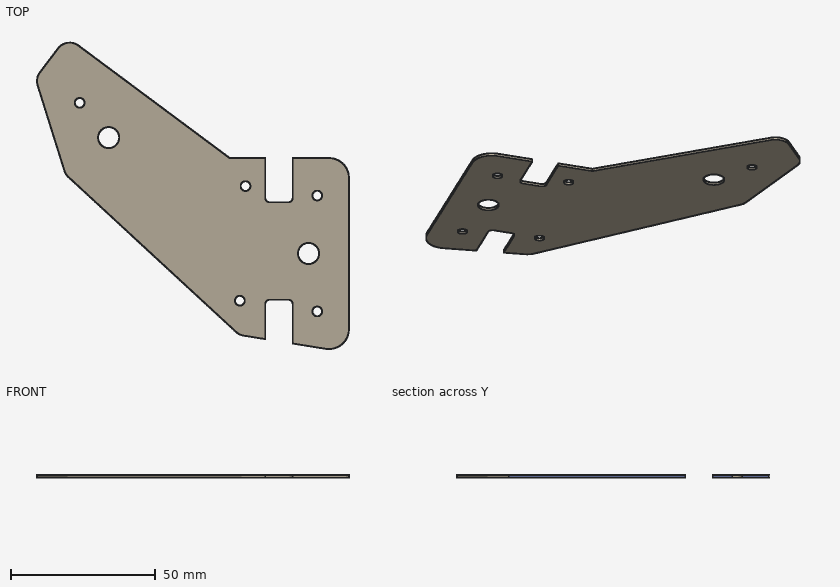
import cadquery as cq

thickness = 1.0

head_right = 14.0
head_top = 33.0
head_bottom = -34.25
head_corner_radius = 7.0

arm_root_top = (-27.25, head_top)
arm_tip_top = (-83.45, 74.8)
arm_tip_left = (-94.31, 60.47)
arm_elbow = (-83.9, 27.3)
arm_root_bottom = (-23.9, -28.15)
head_bottom_right = (head_right, head_bottom)
head_top_right = (head_right, head_top)
arm_corner_radius = 5.0

slot_center_x = -10.2
slot_width = 9.4
slot_corner_radius = 1.5
upper_slot_floor = 17.7
lower_slot_floor = -16.0
slot_overrun = 5.0

large_hole_diameter = 7.2
small_hole_diameter = 3.3
large_hole_centers = [(0.0, 0.0), (-69.0, 40.0)]
small_hole_centers = [
    (3.0, 20.0),
    (3.0, -20.0),
    (-21.75, 23.25),
    (-23.7, -16.3),
    (-79.0, 52.0),
]


def round_corner(body, corner, radius):
    """Round the upright edge of the body standing at the given corner."""
    selector = cq.selectors.NearestToPointSelector((*corner, thickness / 2))
    return body.edges("|Z").edges(selector).fillet(radius)


def plate_blank():
    """Plate with its rounded outer outline, without slots or holes."""
    outline = [
        arm_root_top,
        arm_tip_top,
        arm_tip_left,
        arm_elbow,
        arm_root_bottom,
        head_bottom_right,
        head_top_right,
    ]
    body = cq.Workplane("XY").polyline(outline).close().extrude(thickness)
    for corner in (arm_tip_top, arm_tip_left, arm_elbow, arm_root_bottom):
        body = round_corner(body, corner, arm_corner_radius)
    for corner in (head_bottom_right, head_top_right):
        body = round_corner(body, corner, head_corner_radius)
    return body


def edge_slot(floor_y, open_y):
    """Cutter for a slot from its round-cornered floor to beyond the plate edge."""
    length = abs(open_y - floor_y)
    floor_side = "<Y" if open_y > floor_y else ">Y"
    cutter = (
        cq.Workplane("XY")
        .center(slot_center_x, (floor_y + open_y) / 2)
        .rect(slot_width, length)
        .extrude(thickness)
    )
    return cutter.faces(floor_side).edges("|Z").fillet(slot_corner_radius)


def round_holes(centers, diameter):
    """Cutter for a set of equal through holes."""
    return cq.Workplane("XY").pushPoints(centers).circle(diameter / 2).extrude(thickness)


result = (
    plate_blank()
    .cut(edge_slot(upper_slot_floor, head_top + slot_overrun))
    .cut(edge_slot(lower_slot_floor, head_bottom - slot_overrun))
    .cut(round_holes(large_hole_centers, large_hole_diameter))
    .cut(round_holes(small_hole_centers, small_hole_diameter))
)